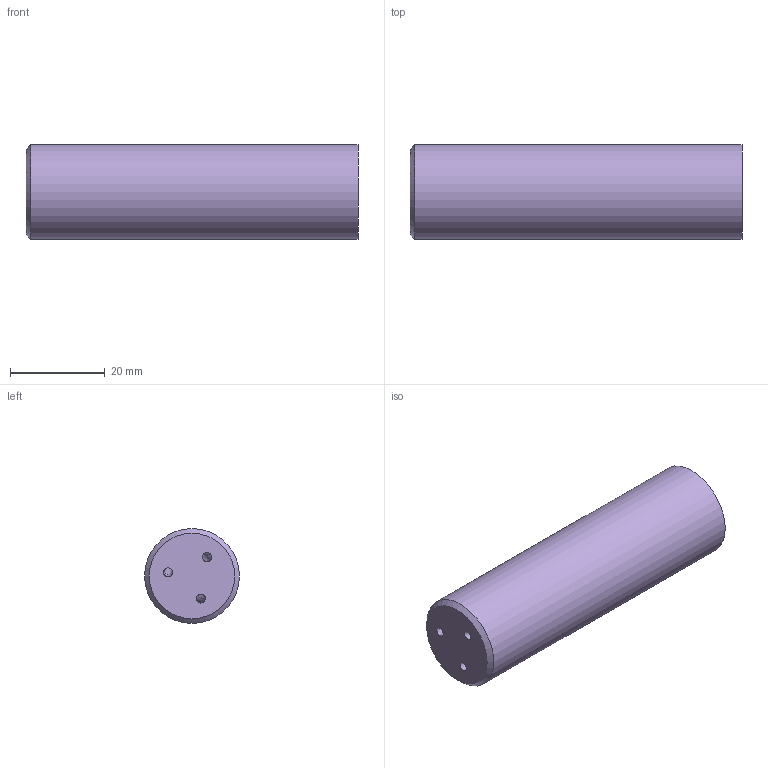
import cadquery as cq
import math

rod_length = 70.0
rod_diameter = 20.0
chamfer_size = 1.0

channel_count = 3
channel_diameter = 1.9
channel_circle_diameter = 10.2
channel_overrun = 1.0
first_channel_angle = 8.5
helix_angle = 30.0
twist_direction = 1

helix_pitch = math.pi * rod_diameter / math.tan(math.radians(helix_angle))
twist_per_length = twist_direction * 360.0 / helix_pitch


def make_rod():
    """Cylinder with a chamfer on its -X end."""
    rod = cq.Workplane("YZ").circle(rod_diameter / 2).extrude(rod_length)
    return rod.faces("<X").edges().chamfer(chamfer_size)


def make_channels():
    """Evenly spaced channels twisted together around the rod axis."""
    start_angle = first_channel_angle - twist_per_length * channel_overrun
    channel_length = rod_length + 2 * channel_overrun
    return (
        cq.Workplane("YZ", origin=(-channel_overrun, 0, 0))
        .polarArray(channel_circle_diameter / 2, start_angle, 360, channel_count)
        .circle(channel_diameter / 2)
        .twistExtrude(channel_length, twist_per_length * channel_length)
    )


result = make_rod().cut(make_channels())